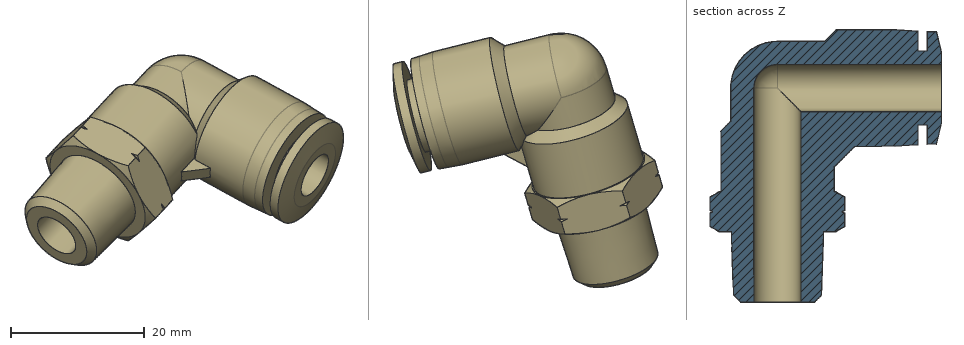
import cadquery as cq
import math

LENGTH = 40.75
WIDTH = 34.65
FLATS = 17.5
SLEEVE_R = FLATS / 2
HEX_CORNER_R = SLEEVE_R / math.cos(math.radians(30))
ELBOW_R = 7.0
BORE_R = 3.5

SLEEVE_CONE_START = 7.0
SLEEVE_START = SLEEVE_CONE_START + SLEEVE_R - ELBOW_R
TAPER_START = 17.55
TAPER_END = 19.65
SLEEVE_END = 21.03
TAPER_R = 8.6
SLEEVE_END_R = 8.5
NECK_R = 5.6
FLANGE_R = 8.45
FLANGE_START = 22.37
FLANGE_EDGE = 23.8
TUBE_END = WIDTH - HEX_CORNER_R
TUBE_END_R = 5.3

BODY_R = 8.5
SHOULDER_START = 4.97
SHOULDER_END = SHOULDER_START + BODY_R - ELBOW_R
HEX_START = 15.5
HEX_END = 21.48
THREAD_R = 6.93
THREAD_TIP_R = 6.6
THREAD_CHAMFER = 1.05
THREAD_END = LENGTH - SLEEVE_R

HEX_CHAMFER_ANGLE = 30
GROOVE_DEPTH = 0.45
GROOVE_HALF_WIDTH = 0.2

RIB_THICKNESS = 2.08
RIB_REACH = 20.3


def leg_along_x(profile):
    """Revolve (x, radius) points about the X axis."""
    points = [(profile[0][0], 0)] + profile + [(profile[-1][0], 0)]
    return cq.Workplane("XY").polyline(points).close().revolve(360, (0, 0), (1, 0))


def leg_along_y(profile):
    """Revolve (distance toward -Y, radius) points about the Y axis."""
    points = [(0, -profile[0][0])] + [(r, -d) for d, r in profile] + [(0, -profile[-1][0])]
    return cq.Workplane("XY").polyline(points).close().revolve(360, (0, 0), (0, 1))


def tube_leg():
    return leg_along_x([
        (0, ELBOW_R),
        (SLEEVE_CONE_START, ELBOW_R),
        (SLEEVE_START, SLEEVE_R),
        (TAPER_START, SLEEVE_R),
        (TAPER_END, TAPER_R),
        (SLEEVE_END, SLEEVE_END_R),
        (SLEEVE_END, NECK_R),
        (FLANGE_START, NECK_R),
        (FLANGE_START, FLANGE_R),
        (FLANGE_EDGE, FLANGE_R),
        (TUBE_END, TUBE_END_R),
    ])


def threaded_leg():
    return leg_along_y([
        (0, ELBOW_R),
        (SHOULDER_START, ELBOW_R),
        (SHOULDER_END, BODY_R),
        (HEX_START, BODY_R),
        (HEX_END, BODY_R),
        (HEX_END, THREAD_R),
        (THREAD_END - THREAD_CHAMFER, THREAD_TIP_R),
        (THREAD_END, THREAD_TIP_R - THREAD_CHAMFER),
    ])


def hexagon():
    """Hexagon with conical end chamfers and a V groove around its corners."""
    prism = (
        cq.Workplane("XZ", origin=(0, -HEX_START, 0))
        .polygon(6, 2 * HEX_CORNER_R)
        .extrude(HEX_END - HEX_START)
    )
    chamfer_drop = (HEX_CORNER_R - SLEEVE_R) * math.tan(math.radians(HEX_CHAMFER_ANGLE))
    middle = (HEX_START + HEX_END) / 2
    envelope = leg_along_y([
        (HEX_START, SLEEVE_R),
        (HEX_START + chamfer_drop, HEX_CORNER_R),
        (middle - GROOVE_HALF_WIDTH, HEX_CORNER_R),
        (middle, HEX_CORNER_R - GROOVE_DEPTH),
        (middle + GROOVE_HALF_WIDTH, HEX_CORNER_R),
        (HEX_END - chamfer_drop, HEX_CORNER_R),
        (HEX_END, SLEEVE_R),
    ])
    return prism.intersect(envelope)


def corner_rib():
    """Web filling the inside corner, buried in both legs at its ends."""
    far = RIB_REACH - ELBOW_R
    return (
        cq.Workplane("XY")
        .polyline([(ELBOW_R, -ELBOW_R), (far, -ELBOW_R), (ELBOW_R, -far)])
        .close()
        .extrude(RIB_THICKNESS / 2, both=True)
    )


def bore():
    """Through passage with a spherical turn at the elbow."""
    return (
        cq.Workplane("XY").sphere(BORE_R)
        .union(leg_along_x([(0, BORE_R), (TUBE_END, BORE_R)]))
        .union(leg_along_y([(0, BORE_R), (THREAD_END, BORE_R)]))
    )


elbow = cq.Workplane("XY").sphere(ELBOW_R)
fitting = elbow.union(tube_leg()).union(threaded_leg()).union(hexagon()).union(corner_rib())
result = fitting.cut(bore())